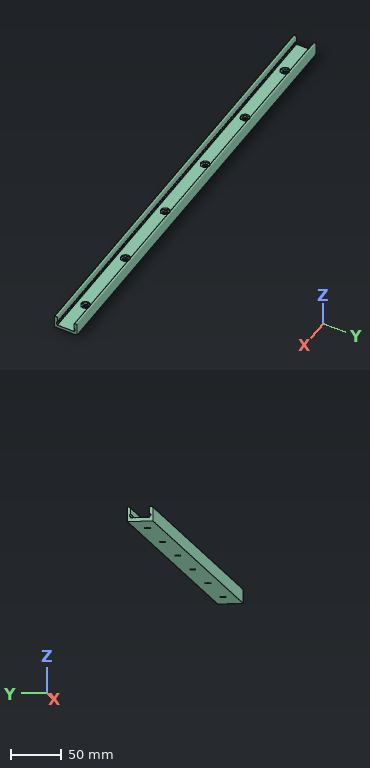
import cadquery as cq

length = 480.0
width = 26.0
height = 15.0
wall = 3.45
floor = 4.0

race_radius = 1.2
race_height = 6.0
lip_radius = 2.0
outer_lip_radius = 1.0
lip_margin = 0.5

hole_count = 6
hole_pitch = length / hole_count
hole_diameter = 6.0
counterbore_diameter = 9.5
counterbore_depth = 2.0

inner_half_width = width / 2 - wall


def make_channel():
    """U-shaped channel, centred on X and Y, standing on Z = 0."""
    block = cq.Workplane("XY").box(length, width, height, centered=(True, True, False))
    cavity = (
        cq.Workplane("XY")
        .workplane(offset=floor)
        .box(length, 2 * inner_half_width, height - floor, centered=(True, True, False))
    )
    return block.cut(cavity)


def round_lips(channel):
    """Round the inner and outer top edges of both walls."""
    rounded = channel.faces(">Z").edges(">Y or <Y").fillet(outer_lip_radius)
    inner_edges = cq.selectors.BoxSelector(
        (-length, -inner_half_width - lip_margin, 0),
        (length, inner_half_width + lip_margin, 2 * height),
    )
    return rounded.faces(">Z").edges("|X").edges(inner_edges).fillet(lip_radius)


def cut_races(channel):
    """Cut a round groove along the full length of each inner wall face."""
    race_centres = [(side * inner_half_width, race_height) for side in (-1, 1)]
    races = (
        cq.Workplane("YZ")
        .workplane(offset=-length / 2)
        .pushPoints(race_centres)
        .circle(race_radius)
        .extrude(length)
    )
    return channel.cut(races)


def drill_holes(channel):
    """Drill the evenly pitched counterbored holes down through the floor."""
    return (
        channel
        .copyWorkplane(cq.Workplane("XY", origin=(0, 0, floor)))
        .rarray(hole_pitch, 5, hole_count, 1)
        .cboreHole(hole_diameter, counterbore_diameter, counterbore_depth)
    )


result = drill_holes(cut_races(round_lips(make_channel())))